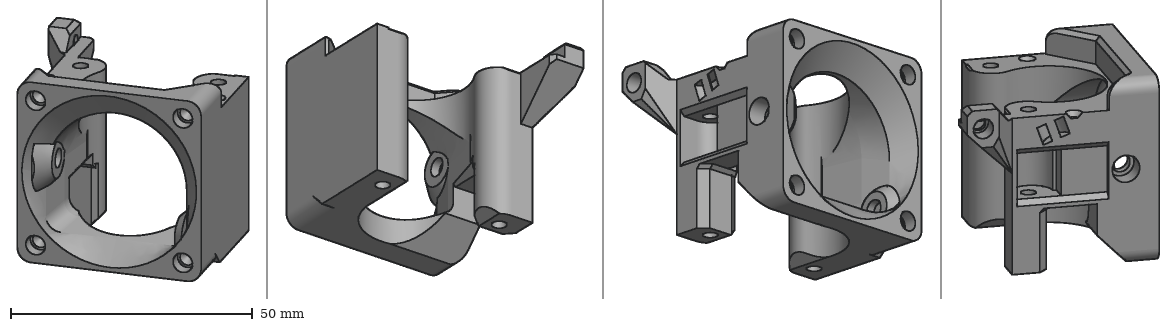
import cadquery as cq
import math


OVERALL_X = 45.0
BODY_SIZE = 40.0
HALF = BODY_SIZE / 2
BODY_DEPTH = 31.5
DECK_Z = 14.05
CORNER_R = 3.0
SIDE_STRIP = HALF - CORNER_R

CLEARANCE = 0.45

BORE_R = 12.0
BORE_Y = 18.2
EAR_R = 4.8
EAR_Y = BODY_DEPTH - EAR_R
EAR_X = math.sqrt((BORE_R + EAR_R) ** 2 - (EAR_Y - BORE_Y) ** 2)
EAR_HOLE_X = 15.0
EAR_HOLE_D = 3.2
EAR_EDGE_CHAMFER = 0.4

HOOD_BACK_Y = 5.5
HOOD_CHAMFER = 0.95
HOOD_LEFT_X = -14.15
HOOD_RIGHT_X = 10.15
HOOD_LEFT_Y = 11.65
HOOD_RIGHT_Y = 14.4

FAN_R = 19.0
DUCT_CORNER_R = 3.15
DUCT_SECTIONS = (
    (4.72, 15.3, 13.5, 14.4),
    (11.05, 13.4, 13.28, 13.05),
    (21.15, 11.9, 11.7, 12.6),
)

SCREW_X = 16.0
SCREW_MOUTH_D = 4.25
SCREW_MOUTH_DEPTH = 3.0
SCREW_CORE_D = 3.2
SCREW_TIP_DEPTH = 2.0

SIDE_HOLE_Y = 7.15
SIDE_HOLE_Z = 1.0
SIDE_HOLE_D = 5.85
SIDE_HOLE_DEPTH = 4.5
SIDE_HOLE_INNER_D = 4.1
COLLAR_FACE_X = -13.4
COLLAR_TOP_R = 4.28
COLLAR_BASE_R = 7.65
COLLAR_HEIGHT = 3.38
BOSS_Z = -12.38
BOSS_FACE_X = 13.15
BOSS_TOP_R = 3.82
BOSS_BASE_R = 5.62
BOSS_HEIGHT = 2.02
BOSS_HOLE_DEPTH = 2.0

DIMPLE_X = (-19.6, 17.5)
DIMPLE_D = 3.45
DIMPLE_FLOOR_D = 1.5
DIMPLE_DEPTH = 1.12

WINDOW_Y = (10.85, 30.45)
WINDOW_Z = (-4.05, 6.0)
WINDOW_CHAMFER = 1.15
HOLLOW_Y = 20.7
HOLLOW_R = 4.5

TIE_Y = 22.7
TIE_Z = 10.6
TIE_OUTER_R = 3.0
TIE_INNER_R = 1.0
TIE_WIDTH = 4.05
TIE_TILT = 19.5

CUTOUT_FRONT_Y = 13.3
CUTOUT_BACK_Y = 23.65
CUTOUT_TOP_Z = -6.1
CUTOUT_SLOPE_Z = -13.0
CUTOUT_CORNER = 0.9
COLUMN_CHAMFER = 1.95
COLUMN_INNER_X = -11.7
COLUMN_INNER_CHAMFER = (1.35, 0.68)
SOFFIT_X = -13.65

TIP_BEVEL_X = 11.95
TIP_BEVEL_Y = 19.35
TIP_BEVEL = 2.7

ARM_BACK_Y = 42.5
ARM_TIP_X = HALF - OVERALL_X
ARM_TOP_Z = 18.05
ARM_CHAMFER = 1.1
ARM_TIP_FRONT_Y = 35.7
ARM_SLOPE_Y = 36.15
ARM_TIP_BOTTOM_Z = 9.9
ARM_BACK_BOTTOM_Z = 12.9
ARM_ROOT_BOTTOM_Z = 2.05
ARM_ROOT_TOP_Y = 32.65
ARM_PAD_X = -20.15
ARM_FACET_Y = 36.85
ARM_FACET_Z = 11.92
ARM_HOLE_Y = 39.0
ARM_HOLE_Z = 14.0
ARM_HOLE_MOUTH_DEPTH = 4.05


def box(x0, x1, y0, y1, z0, z1):
    return cq.Workplane("XY").box(x1 - x0, y1 - y0, z1 - z0, centered=False).translate((x0, y0, z0))


def prism_x(points, x0, x1):
    """Extrude a (Y, Z) outline from x0 to x1."""
    return cq.Workplane("YZ").polyline(points).close().extrude(x1 - x0).translate((x0, 0, 0))


def prism_y(points, y0, y1):
    """Extrude an (X, Z) outline from y0 to y1."""
    return cq.Workplane("XZ").polyline(points).close().extrude(y0 - y1).translate((0, y0, 0))


def prism_z(points, z0, z1):
    """Extrude an (X, Y) outline from z0 to z1."""
    return cq.Workplane("XY").polyline(points).close().extrude(z1 - z0).translate((0, 0, z0))


def rod(diameter, length, start, direction):
    radius = diameter / 2
    return cq.Workplane(cq.Solid.makeCylinder(radius, length, cq.Vector(*start), cq.Vector(*direction)))


def cone(start_r, end_r, length, start, direction):
    axis = cq.Vector(*direction)
    return cq.Workplane(cq.Solid.makeCone(start_r, end_r, length, cq.Vector(*start), axis))


def rounded_block():
    """Full square of the fan face with all four corners rounded."""
    return cq.Workplane("XZ").rect(BODY_SIZE, BODY_SIZE).extrude(-BODY_DEPTH).edges("|Y").fillet(CORNER_R)


def hood():
    """Screw hood whose back wraps around the bore, with a chamfer along its top back edge."""
    outline = [
        (-HALF, 0),
        (HALF, 0),
        (HALF, HOOD_RIGHT_Y),
        (HOOD_RIGHT_X, HOOD_BACK_Y),
        (HOOD_LEFT_X, HOOD_BACK_Y),
        (-HALF, HOOD_LEFT_Y),
    ]
    wall = prism_z(outline, DECK_Z, HALF).intersect(rounded_block())
    low = (-BODY_SIZE, CLEARANCE, DECK_Z + CLEARANCE)
    above_deck = cq.selectors.BoxSelector(low, (BODY_SIZE, BODY_DEPTH, BODY_SIZE))
    return wall.edges("not(|Y or |Z)").edges(above_deck).chamfer(HOOD_CHAMFER)


def ear_opening():
    """Vertical bore and the gap between the ears behind it."""
    reach = BORE_R / (BORE_R + EAR_R)
    neck = (EAR_X * reach, BORE_Y + (EAR_Y - BORE_Y) * reach)
    return (
        cq.Workplane("XY")
        .workplane(offset=-BODY_SIZE)
        .moveTo(*neck)
        .threePointArc((0, BORE_Y - BORE_R), (-neck[0], neck[1]))
        .threePointArc((EAR_R - EAR_X, EAR_Y), (-EAR_X, BODY_DEPTH))
        .lineTo(-EAR_X, BODY_DEPTH + CLEARANCE)
        .lineTo(EAR_X, BODY_DEPTH + CLEARANCE)
        .lineTo(EAR_X, BODY_DEPTH)
        .threePointArc((EAR_X - EAR_R, EAR_Y), neck)
        .close()
        .extrude(2 * BODY_SIZE)
    )


def arch_wire(y, half_width, roof, floor):
    """Duct section: a round arch over straight sides and a floor with rounded corners."""
    spring = roof - half_width
    side = floor - DUCT_CORNER_R
    flat = half_width - DUCT_CORNER_R
    bend = DUCT_CORNER_R * math.sqrt(0.5)
    return (
        cq.Workplane("XZ", origin=(0, y, 0))
        .moveTo(half_width, spring)
        .threePointArc((0, roof), (-half_width, spring))
        .lineTo(-half_width, -side)
        .threePointArc((-flat - bend, -side - bend), (-flat, -floor))
        .lineTo(flat, -floor)
        .threePointArc((flat + bend, -side - bend), (half_width, -side))
        .close()
        .wire()
        .val()
    )


def air_duct():
    wires = [cq.Wire.makeCircle(FAN_R, cq.Vector(0, 0, 0), cq.Vector(0, -1, 0))]
    for section in DUCT_SECTIONS:
        wires.append(arch_wire(*section))
    duct = cq.Workplane("XY")
    for front, back in zip(wires, wires[1:]):
        duct = duct.add(cq.Solid.makeLoft([front, back], True))
    return duct.combine()


def screw_hole(x, z):
    back = (0, 1, 0)
    mouth = rod(SCREW_MOUTH_D, SCREW_MOUTH_DEPTH, (x, 0, z), back)
    return mouth.union(cone(SCREW_CORE_D / 2, 0, SCREW_TIP_DEPTH, (x, SCREW_MOUTH_DEPTH, z), back))


def side_hole():
    start = (-HALF, SIDE_HOLE_Y, SIDE_HOLE_Z)
    return rod(SIDE_HOLE_D, SIDE_HOLE_DEPTH, start, (1, 0, 0)).union(
        rod(SIDE_HOLE_INNER_D, HALF, start, (1, 0, 0))
    )


def side_hole_collar():
    """Tapered collar around the side hole on the inner wall of the duct."""
    start = (COLLAR_FACE_X, SIDE_HOLE_Y, SIDE_HOLE_Z)
    collar = cone(COLLAR_TOP_R, COLLAR_BASE_R, COLLAR_HEIGHT, start, (-1, 0, 0))
    return collar.intersect(box(-HALF, 0, 0, BODY_DEPTH, -HALF, HALF))


def insert_boss():
    """Insert boss on the right wall of the duct, and its blind hole."""
    start = (BOSS_FACE_X, SIDE_HOLE_Y, BOSS_Z)
    boss = cone(BOSS_TOP_R, BOSS_BASE_R, BOSS_HEIGHT, start, (1, 0, 0))
    return boss, rod(SIDE_HOLE_INNER_D, BOSS_HOLE_DEPTH, start, (1, 0, 0))


def window():
    """Shallow pocket with bevelled top and bottom, deepened at the back into a hollow ear."""
    y0, y1 = WINDOW_Y
    z0, z1 = WINDOW_Z
    floor_x = WINDOW_CHAMFER - HALF
    bevel = [
        (-HALF, z0 - WINDOW_CHAMFER),
        (floor_x, z0),
        (floor_x, z1),
        (-HALF, z1 + WINDOW_CHAMFER),
    ]
    height = z1 - z0
    recess = box(-HALF, -EAR_HOLE_X, HOLLOW_Y, y1, z0, z1)
    round_end = rod(2 * HOLLOW_R, height, (-EAR_HOLE_X, y1 - HOLLOW_R, z0), (0, 0, 1))
    return prism_y(bevel, y0, y1).union(recess).union(round_end)


def tie_loop():
    """Curved tunnel that enters and leaves the left wall."""
    ring = cq.Workplane("XY").circle(TIE_OUTER_R).circle(TIE_INNER_R).extrude(TIE_WIDTH / 2, both=True)
    return ring.rotate((0, 0, 0), (1, 0, 0), -TIE_TILT).translate((-HALF, TIE_Y, TIE_Z))


def cutout_outline(back_y):
    low_z = -HALF - CLEARANCE
    return [
        (CUTOUT_FRONT_Y, CUTOUT_TOP_Z),
        (back_y - CUTOUT_CORNER, CUTOUT_TOP_Z),
        (back_y, CUTOUT_TOP_Z - CUTOUT_CORNER),
        (back_y, low_z),
        (CUTOUT_FRONT_Y + low_z - CUTOUT_SLOPE_Z, low_z),
        (CUTOUT_FRONT_Y, CUTOUT_SLOPE_Z),
    ]


def cutout():
    """Opening from the left side into the bore, with the rear column's edge chamfered."""
    inner = cutout_outline(CUTOUT_BACK_Y)
    outer = cutout_outline(CUTOUT_BACK_Y + COLUMN_CHAMFER)
    wide_end = cq.Workplane("YZ", origin=(-HALF, 0, 0)).polyline(outer).close()
    flare = wide_end.workplane(offset=COLUMN_CHAMFER).polyline(inner).close().loft(ruled=True)
    chamfer_x, chamfer_y = COLUMN_INNER_CHAMFER
    inner_edge = [
        (COLUMN_INNER_X, CUTOUT_BACK_Y),
        (COLUMN_INNER_X + chamfer_x, CUTOUT_BACK_Y),
        (COLUMN_INNER_X + chamfer_x, CUTOUT_BACK_Y + chamfer_y),
    ]
    soffit = [(SOFFIT_X, CUTOUT_TOP_Z), (0, CUTOUT_TOP_Z), (0, CUTOUT_TOP_Z - SOFFIT_X)]
    main = prism_x(inner, -HALF, 0).union(flare)
    main = main.union(prism_z(inner_edge, -HALF, CUTOUT_TOP_Z))
    return main.union(prism_y(soffit, CUTOUT_FRONT_Y, CUTOUT_BACK_Y - CUTOUT_CORNER))


def tip_bevel(side):
    """Waste below one ear's 45 degree lead-in; side is -1 for left, 1 for right."""
    inner_x = TIP_BEVEL_X - TIP_BEVEL
    profile = [(side * TIP_BEVEL_X, -HALF), (side * inner_x, -HALF), (side * inner_x, TIP_BEVEL - HALF)]
    return prism_y(profile, TIP_BEVEL_Y, BODY_DEPTH)


def lower_corner_rounds():
    """Waste outside the rounded lower corners; each round runs out along a 45 degree slope."""
    outer_size = BODY_SIZE + 2 * CLEARANCE
    square = cq.Workplane("XZ").rect(outer_size, outer_size).extrude(-BODY_DEPTH)
    low_z = -HALF - CLEARANCE
    round_end_y = CUTOUT_FRONT_Y - (CUTOUT_SLOPE_Z + SIDE_STRIP)
    run_out = -SIDE_STRIP - low_z
    zone = [(0, low_z), (0, -SIDE_STRIP), (round_end_y, -SIDE_STRIP), (round_end_y + run_out, low_z)]
    return square.cut(rounded_block()).intersect(prism_x(zone, -BODY_SIZE, BODY_SIZE))


def ear_edge_chamfer():
    top_edge = [
        (BODY_DEPTH - EAR_EDGE_CHAMFER, DECK_Z),
        (BODY_DEPTH, DECK_Z),
        (BODY_DEPTH, DECK_Z - EAR_EDGE_CHAMFER),
    ]
    return prism_x(top_edge, -SIDE_STRIP, SIDE_STRIP)


def arm():
    """Plate behind the left wall, carrying a pad tapered towards the body."""
    root_y = BODY_DEPTH
    plate_side = [
        (root_y, ARM_ROOT_BOTTOM_Z),
        (ARM_BACK_Y, ARM_BACK_BOTTOM_Z),
        (ARM_BACK_Y, DECK_Z),
        (root_y, DECK_Z),
    ]
    plate_end = prism_x(plate_side, -HALF, -SIDE_STRIP).edges("|Z and >Y and >X").chamfer(ARM_CHAMFER)

    pad_side = [
        (root_y, ARM_ROOT_BOTTOM_Z),
        (ARM_BACK_Y, ARM_BACK_BOTTOM_Z),
        (ARM_BACK_Y, ARM_TOP_Z - ARM_CHAMFER),
        (ARM_BACK_Y - ARM_CHAMFER, ARM_TOP_Z),
        (ARM_SLOPE_Y, ARM_TOP_Z),
        (ARM_ROOT_TOP_Y, DECK_Z),
        (root_y, DECK_Z),
    ]
    pad_top = [
        (ARM_TIP_X, ARM_TIP_FRONT_Y),
        (-HALF, root_y),
        (-HALF, ARM_BACK_Y),
        (ARM_TIP_X, ARM_BACK_Y),
    ]
    pad_front = [
        (ARM_TIP_X, ARM_TIP_BOTTOM_Z),
        (-HALF, ARM_ROOT_BOTTOM_Z),
        (-HALF, DECK_Z),
        (ARM_PAD_X, DECK_Z),
        (ARM_PAD_X, ARM_TOP_Z - ARM_CHAMFER),
        (ARM_PAD_X - ARM_CHAMFER, ARM_TOP_Z),
        (ARM_TIP_X, ARM_TOP_Z),
    ]
    pad = prism_x(pad_side, ARM_TIP_X, -HALF)
    pad = pad.intersect(prism_z(pad_top, -HALF, HALF)).intersect(prism_y(pad_front, 0, ARM_BACK_Y))

    tip_low = cq.Vector(ARM_TIP_X, ARM_FACET_Y, ARM_TIP_BOTTOM_Z)
    tip_high = cq.Vector(ARM_TIP_X, ARM_TIP_FRONT_Y, ARM_FACET_Z)
    root_low = cq.Vector(-HALF, root_y, ARM_ROOT_BOTTOM_Z)
    along = tip_high - tip_low
    facet = cq.Plane(root_low, along, (root_low - tip_low).cross(along))
    pad = pad.cut(cq.Workplane(facet).rect(BODY_SIZE, BODY_SIZE).extrude(ARM_BACK_Y))

    start = (ARM_TIP_X, ARM_HOLE_Y, ARM_HOLE_Z)
    mouth = rod(SCREW_MOUTH_D, ARM_HOLE_MOUTH_DEPTH, start, (1, 0, 0))
    core = rod(SCREW_CORE_D, -HALF - ARM_TIP_X, start, (1, 0, 0))
    return plate_end.union(pad).cut(mouth).cut(core)


body = box(-HALF, HALF, 0, BODY_DEPTH, -HALF, DECK_Z).union(hood())
body = body.cut(lower_corner_rounds()).cut(air_duct())

boss, boss_hole = insert_boss()
body = body.union(side_hole_collar()).union(boss).cut(boss_hole)
body = body.cut(ear_opening()).cut(side_hole())
body = body.cut(window()).cut(tie_loop()).cut(cutout()).cut(ear_edge_chamfer())

for side in (-1, 1):
    body = body.cut(rod(EAR_HOLE_D, BODY_SIZE, (side * EAR_HOLE_X, EAR_Y, -HALF), (0, 0, 1)))
    body = body.cut(tip_bevel(side))
    for level in (-1, 1):
        body = body.cut(screw_hole(side * SCREW_X, level * SCREW_X))

for x in DIMPLE_X:
    body = body.cut(cone(DIMPLE_D / 2, DIMPLE_FLOOR_D / 2, DIMPLE_DEPTH, (x, BORE_Y, DECK_Z), (0, 0, -1)))

result = body.union(arm())